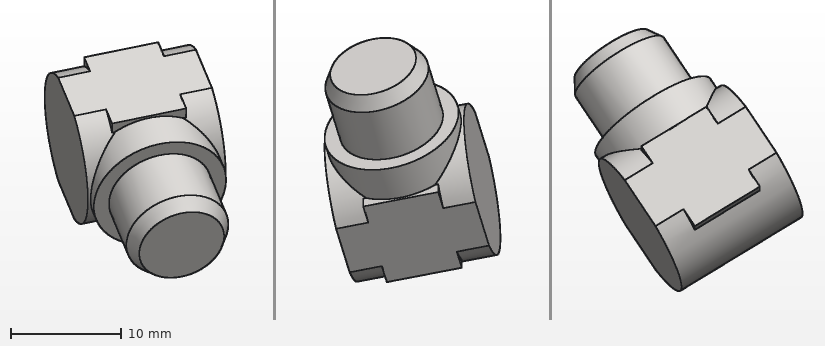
import cadquery as cq

total_length = 22.0
body_diameter = 14.0
body_width = 13.0
pad_length = 9.0
pad_width = 7.0
collar_diameter = 12.5
collar_end = 8.0
spigot_diameter = 9.64
tip_length = 1.39
tip_diameter = 8.0

spigot_end = total_length - body_diameter / 2


def make_body():
    """Cylinder along Y, with flats cut on the top and bottom."""
    cylinder = cq.Workplane("XZ").circle(body_diameter / 2).extrude(body_width / 2, both=True)
    envelope = cq.Workplane("XY").box(body_diameter, body_width, body_width)
    return cylinder.intersect(envelope)


def make_pads():
    """Block through the body whose ends form pads flush with the flats."""
    return cq.Workplane("XY").box(pad_length, pad_width, body_width)


def make_connector():
    """Collar and taper-ended spigot, turned about the X axis."""
    profile = [
        (0, 0),
        (0, collar_diameter / 2),
        (collar_end, collar_diameter / 2),
        (collar_end, spigot_diameter / 2),
        (spigot_end - tip_length, spigot_diameter / 2),
        (spigot_end, tip_diameter / 2),
        (spigot_end, 0),
    ]
    return cq.Workplane("XY").polyline(profile).close().revolve(360, (0, 0, 0), (1, 0, 0))


result = make_body().union(make_pads()).union(make_connector())